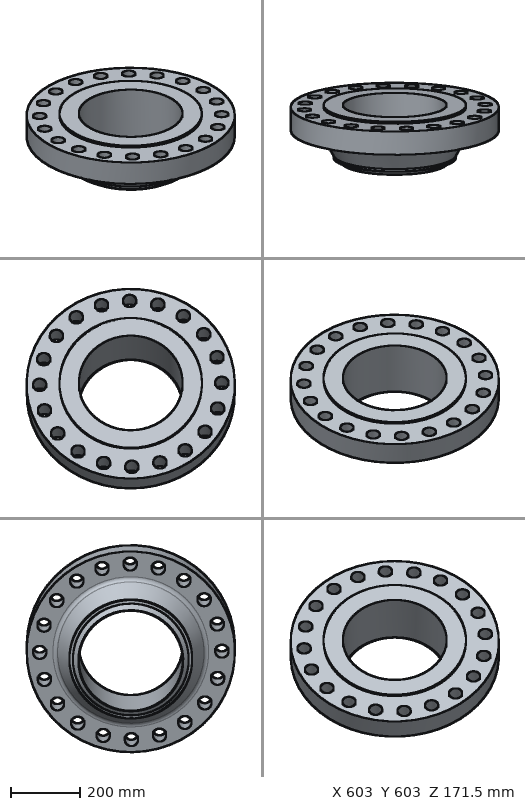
import cadquery as cq

bevel_height = 14.0
weld_land_bottom = 15.5
weld_land_top = 23.5
plate_bottom = 96.0
plate_top = 165.0
overall_height = 171.5

bore_radius = 150.0
weld_tip_radius = 152.0
bevel_top_radius = 168.0
weld_land_radius = 178.0
hub_top_radius = 216.5
raised_face_radius = 206.5
plate_radius = 301.5
hub_fillet_radius = 15.0

bolt_count = 20
bolt_circle_radius = 263.5
bolt_hole_diameter = 38.5


def turned_body():
    """Revolve the flange half section about Z, then blend the hub into the plate."""
    body = (
        cq.Workplane("XZ")
        .moveTo(bore_radius, 0)
        .lineTo(weld_tip_radius, 0)
        .lineTo(bevel_top_radius, bevel_height)
        .lineTo(weld_land_radius, weld_land_bottom)
        .lineTo(weld_land_radius, weld_land_top)
        .lineTo(hub_top_radius, plate_bottom)
        .lineTo(plate_radius, plate_bottom)
        .lineTo(plate_radius, plate_top)
        .lineTo(raised_face_radius, plate_top)
        .lineTo(raised_face_radius, overall_height)
        .lineTo(bore_radius, overall_height)
        .close()
        .revolve(360, (0, 0, 0), (0, 1, 0))
    )
    hub_corner = cq.selectors.RadiusNthSelector(-2)
    return body.edges(hub_corner).fillet(hub_fillet_radius)


def bolt_holes():
    """Evenly spaced through holes, the first on the +X axis."""
    return (
        cq.Workplane("XY")
        .polarArray(bolt_circle_radius, 0, 360, bolt_count)
        .circle(bolt_hole_diameter / 2)
        .extrude(overall_height)
    )


result = turned_body().cut(bolt_holes())